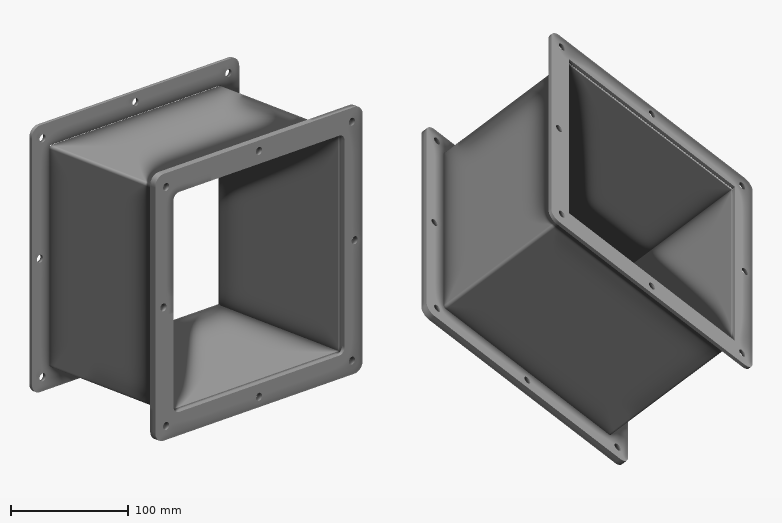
import cadquery as cq

INCH = 25.4

plate_size = 9.625 * INCH
plate_thickness = 0.125 * INCH
plate_corner_radius = 0.375 * INCH
window_size = 7.9375 * INCH
gasket_window_corner_radius = 0.25 * INCH

hole_diameter = 0.28125 * INCH
corner_hole_offset = 109.5
side_hole_offset = 112.7

duct_length = 5.75 * INCH
duct_size = 8.0 * INCH
duct_wall = 1.8
duct_corner_radius = 2.75
bore_size = duct_size - 2 * duct_wall

inlet_lift = 0.04 * INCH

duct_start = plate_thickness
outlet_start = duct_start + duct_length
gasket_start = outlet_start + plate_thickness


def square_block(size, length, corner_radius=0):
    """Square block along +X from X = 0, centred on the X axis."""
    block = cq.Workplane("YZ").rect(size, size).extrude(length)
    if corner_radius > 0:
        block = block.edges("|X").fillet(corner_radius)
    return block


def bolt_holes():
    corner_points = [
        (y_side * corner_hole_offset, z_side * corner_hole_offset)
        for y_side in (-1, 1)
        for z_side in (-1, 1)
    ]
    side_points = [
        (side_hole_offset, 0),
        (-side_hole_offset, 0),
        (0, side_hole_offset),
        (0, -side_hole_offset),
    ]
    return (
        cq.Workplane("YZ")
        .pushPoints(corner_points + side_points)
        .circle(hole_diameter / 2)
        .extrude(plate_thickness)
    )


def drilled_frame(window_corner_radius=0):
    """Rounded square plate with a window and bolt holes, from X = 0."""
    blank = square_block(plate_size, plate_thickness, plate_corner_radius)
    window = square_block(window_size, plate_thickness, window_corner_radius)
    return blank.cut(window).cut(bolt_holes())


def square_duct():
    outside = square_block(duct_size, duct_length, duct_corner_radius)
    bore = square_block(bore_size, duct_length)
    return outside.cut(bore)


inlet_flange = drilled_frame().translate((0, 0, inlet_lift))
duct = square_duct().translate((duct_start, 0, 0))
outlet_flange = drilled_frame().translate((outlet_start, 0, 0))
gasket = drilled_frame(gasket_window_corner_radius).translate((gasket_start, 0, 0))

bodies = [inlet_flange, duct, outlet_flange, gasket]
result = cq.Compound.makeCompound([body.solids().val() for body in bodies])